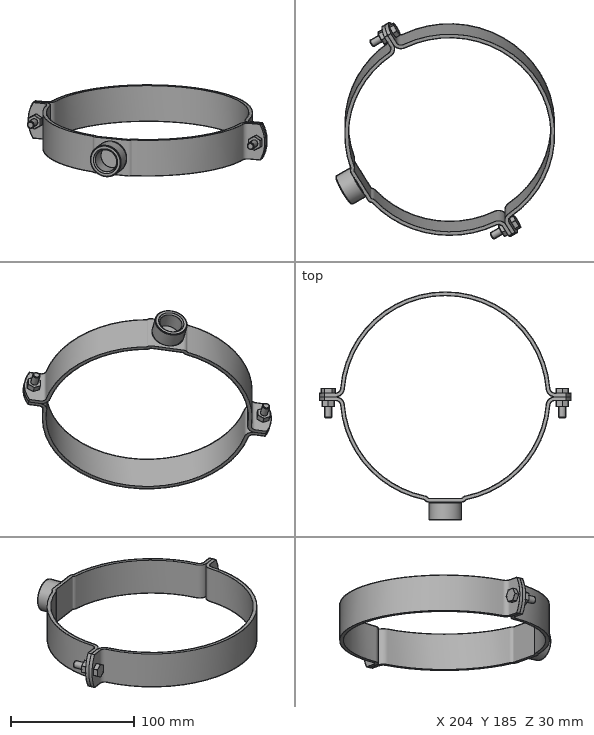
import cadquery as cq
import math


OVERALL_LENGTH = 204.0
STRAP_WIDTH = 30.0
STRAP_THICKNESS = 3.0
RING_OUTER_RADIUS = 85.0

EAR_BEND_RADIUS = 4.0
EAR_TIP_RADIUS = 29.5
BOLT_X = 94.9

PAD_HALF_LENGTH = 13.3
PAD_OUTER_Y = -85.3
PAD_BEND_RADIUS = 1.0

SOCKET_DIAMETER = 26.5
SOCKET_BORE = 18.4
SOCKET_LENGTH = 14.7
SOCKET_PAD_CHAMFER = 0.8
SOCKET_MOUTH_CHAMFER = 0.6
SOCKET_BORE_CHAMFER = 1.2

BOLT_DIAMETER = 6.0
BOLT_TIP_Y = -17.1
BOLT_TIP_CHAMFER = 0.6
HEX_ACROSS_FLATS = 10.0
HEX_CORNER_UP = 30
HEAD_HEIGHT = 3.9
NUT_HEIGHT = 4.9

HALF_LENGTH = OVERALL_LENGTH / 2
HEX_ACROSS_CORNERS = HEX_ACROSS_FLATS / math.cos(math.radians(30))
RING_INNER_RADIUS = RING_OUTER_RADIUS - STRAP_THICKNESS

EAR_BEND_Y = STRAP_THICKNESS + EAR_BEND_RADIUS
EAR_BEND_ANGLE = math.degrees(math.asin(EAR_BEND_Y / (RING_OUTER_RADIUS + EAR_BEND_RADIUS)))
EAR_BEND_X = EAR_BEND_Y / math.tan(math.radians(EAR_BEND_ANGLE))


def polar(center, radius, angle):
    """Point at a radius and an angle in degrees from a center."""
    turn = math.radians(angle)
    return (center[0] + radius * math.cos(turn), center[1] + radius * math.sin(turn))


def curved_strap(center, inner_radius, start, end):
    """Piece of strap bent around a center, between two angles in degrees."""
    outer_radius = inner_radius + STRAP_THICKNESS
    middle = (start + end) / 2
    return (
        cq.Workplane("XY")
        .moveTo(*polar(center, inner_radius, start))
        .lineTo(*polar(center, outer_radius, start))
        .threePointArc(polar(center, outer_radius, middle), polar(center, outer_radius, end))
        .lineTo(*polar(center, inner_radius, end))
        .threePointArc(polar(center, inner_radius, middle), polar(center, inner_radius, start))
        .close()
        .extrude(STRAP_WIDTH / 2, both=True)
    )


def flat_strap(x_start, x_end, y_low):
    """Straight piece of strap along X."""
    return (
        cq.Workplane("XY", origin=(x_start, y_low, 0))
        .box(x_end - x_start, STRAP_THICKNESS, STRAP_WIDTH, centered=(False, False, True))
    )


def y_cylinder(diameter, y_start, y_end):
    """Cylinder along Y between two Y positions, on the line x = z = 0."""
    return cq.Workplane("XZ", origin=(0, y_end, 0)).circle(diameter / 2).extrude(y_end - y_start)


def right_ear():
    """Ear on the +X side of the upper half, with its rounded tip, bolt hole and bend."""
    tip = y_cylinder(2 * EAR_TIP_RADIUS, 0, STRAP_THICKNESS).translate((HALF_LENGTH - EAR_TIP_RADIUS, 0, 0))
    hole = y_cylinder(BOLT_DIAMETER, 0, STRAP_THICKNESS).translate((BOLT_X, 0, 0))
    plate = flat_strap(EAR_BEND_X, HALF_LENGTH, 0).intersect(tip).cut(hole)
    bend = curved_strap((EAR_BEND_X, EAR_BEND_Y), EAR_BEND_RADIUS, 180 + EAR_BEND_ANGLE, 270)
    return plate.union(bend)


def with_mirror_image(right_side):
    """The +X side of a half joined to its mirror image."""
    return right_side.union(right_side.mirror("YZ"))


def make_upper_half():
    ring = curved_strap((0, 0), RING_INNER_RADIUS, EAR_BEND_ANGLE, 180 - EAR_BEND_ANGLE)
    return ring.union(with_mirror_image(right_ear()))


def make_lower_half():
    pad_bend = (PAD_HALF_LENGTH, PAD_OUTER_Y + STRAP_THICKNESS + PAD_BEND_RADIUS)
    pad_bend_distance = math.hypot(*pad_bend)
    ring_bend_distance = RING_OUTER_RADIUS + PAD_BEND_RADIUS
    bend_spacing = 2 * PAD_BEND_RADIUS + STRAP_THICKNESS

    angle_between = math.degrees(math.acos(
        (pad_bend_distance**2 + ring_bend_distance**2 - bend_spacing**2)
        / (2 * pad_bend_distance * ring_bend_distance)
    ))
    ring_bend_angle = math.degrees(math.atan2(pad_bend[1], pad_bend[0])) + angle_between
    ring_bend = polar((0, 0), ring_bend_distance, ring_bend_angle)
    joint_angle = math.degrees(math.atan2(pad_bend[1] - ring_bend[1], pad_bend[0] - ring_bend[0]))

    pad = flat_strap(0, PAD_HALF_LENGTH, PAD_OUTER_Y)
    right_side = (
        right_ear().mirror("XZ")
        .union(curved_strap((0, 0), RING_INNER_RADIUS, ring_bend_angle, -EAR_BEND_ANGLE))
        .union(curved_strap(ring_bend, PAD_BEND_RADIUS, ring_bend_angle + 180, joint_angle))
        .union(curved_strap(pad_bend, PAD_BEND_RADIUS, 270, joint_angle + 180))
        .union(pad)
    )
    return with_mirror_image(right_side)


def make_socket():
    """Plain tube standing on the pad, chamfered outside at both ends and inside at its mouth."""
    mouth_y = PAD_OUTER_Y - SOCKET_LENGTH
    tube = (
        y_cylinder(SOCKET_DIAMETER, mouth_y, PAD_OUTER_Y)
        .faces(">Y")
        .chamfer(SOCKET_PAD_CHAMFER)
        .faces("<Y")
        .chamfer(SOCKET_MOUTH_CHAMFER)
    )
    bore = y_cylinder(SOCKET_BORE, mouth_y, PAD_OUTER_Y)
    mouth_edge = cq.selectors.RadiusNthSelector(0)
    return tube.cut(bore).faces("<Y").edges(mouth_edge).chamfer(SOCKET_BORE_CHAMFER)


def make_bolt(x, head_turn):
    """Hex bolt pointing to -Y; unturned, two corners of its head lie along X."""
    shank = y_cylinder(BOLT_DIAMETER, BOLT_TIP_Y, STRAP_THICKNESS).faces("<Y").chamfer(BOLT_TIP_CHAMFER)
    head = (
        cq.Workplane("XZ", origin=(0, STRAP_THICKNESS, 0))
        .transformed(rotate=(0, 0, head_turn))
        .polygon(6, HEX_ACROSS_CORNERS)
        .extrude(-HEAD_HEIGHT)
    )
    return shank.union(head).translate((x, 0, 0))


def make_nut(x):
    """Hex nut under the lower ear, with two corners along Z."""
    return (
        cq.Workplane("XZ", origin=(0, -STRAP_THICKNESS, 0))
        .transformed(rotate=(0, 0, HEX_CORNER_UP))
        .polygon(6, HEX_ACROSS_CORNERS)
        .circle(BOLT_DIAMETER / 2)
        .extrude(NUT_HEIGHT)
        .translate((x, 0, 0))
    )


upper_half = make_upper_half()
lower_half = make_lower_half()
socket = make_socket()
bolts = [make_bolt(side * BOLT_X, head_turn) for side, head_turn in ((-1, 0), (1, HEX_CORNER_UP))]
nuts = [make_nut(side * BOLT_X) for side in (-1, 1)]

result = cq.Compound.makeCompound([
    upper_half.val(),
    lower_half.val(),
    socket.val(),
    *[bolt.val() for bolt in bolts],
    *[nut.val() for nut in nuts],
])